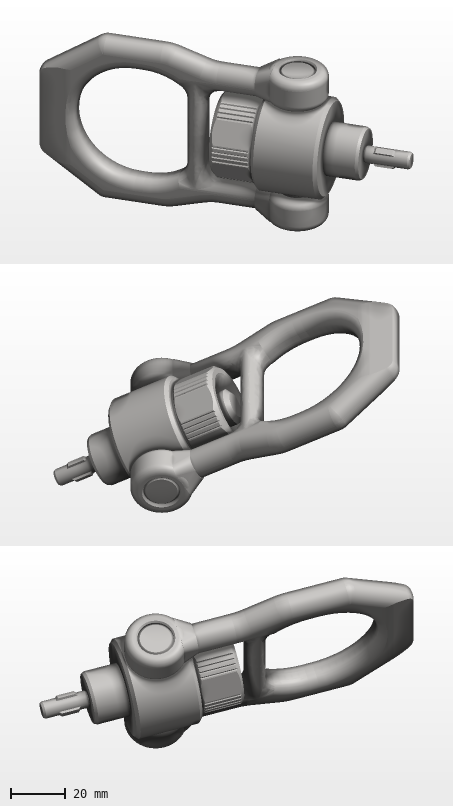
import cadquery as cq
import math


OVERALL_LENGTH = 141.6
TOLERANCE = 0.01

HANDLE_LEFT = -98.1
HANDLE_TOP = 34.0
HANDLE_HALF_THICKNESS = 5.5
END_FLAT_HALF_HEIGHT = 17.3
SHOULDER_X = -74.0
SHOULDER_END_X = -48.1
ARM_START_X = -31.9
END_CORNER_RADIUS = 5.4
ARM_BEND_RADIUS = 17.0
OPENING_RADIUS = 23.1
CLOSED_END_WIDTH = 14.3
OPENING_X = HANDLE_LEFT + CLOSED_END_WIDTH + OPENING_RADIUS
OPENING_STRAIGHT_LENGTH = 3.4
OPENING_RIGHT_X = OPENING_X + OPENING_STRAIGHT_LENGTH
BAR_LEFT = -41.6
BAR_RIGHT = -33.8
BAR_X = (BAR_LEFT + BAR_RIGHT) / 2
BAR_HALF_DEPTH = 5.4
BAR_BLEND_RADIUS = 7.1
ARM_INNER_Z = 19.1
ARM_OUTER_Z = 29.0
OUTER_ROUNDING = 5.2
OPENING_ROUNDING = 4.1
TIP_HALF_THICKNESS = 2.5
TAPER_START_X = -87.1
TAPER_BLEND_RADIUS = 17.0

LUG_RADIUS = 11.5
LUG_BOTTOM = 19.1
LUG_TOP = 31.7
LUG_ROUNDING = 3.0
NECK_START_X = -14.7
NECK_END_X = -8.6
LUG_HOLE_RADIUS = 6.7
LUG_HOLE_CHAMFER = 0.5

HOUSING_RADIUS = 19.0
HOUSING_HALF_LENGTH = 12.6
HOUSING_CHAMFER = 1.3
SLEEVE_RADIUS = 10.0
SLEEVE_END = 25.9
SLEEVE_CHAMFER_LENGTH = 1.1
SLEEVE_CHAMFER_DEPTH = SLEEVE_CHAMFER_LENGTH / 2
TRUNNION_RECESS = 0.5
TRUNNION_END = LUG_TOP - TRUNNION_RECESS
TRUNNION_CHAMFER = 0.8

KNOB_LEFT = -29.3
KNOB_RIGHT = -13.2
KNOB_RADIUS = 16.5
KNOB_FLAT_DISTANCE = 15.9
KNOB_FLATS = 6
KNOB_FACE_RADIUS = 15.2
KNOB_FRONT_CHAMFER = 1.7
KNOB_BACK_CHAMFER = 1.0
KNOB_NECK_RADIUS = 15.6
GRIP_GROOVES = 4
GRIP_PITCH = 2.0
GRIP_WIDTH = 0.7
GRIP_DEPTH = 0.4
DISH_RADIUS = 13.2
DISH_DEPTH = 3.1
BUTTON_RADIUS = 6.8
BUTTON_END = -30.7
BUTTON_END_RADIUS = 4.7
BUTTON_RIM_X = -29.2
PIN_RADIUS = 3.3
PIN_END = HANDLE_LEFT + OVERALL_LENGTH
PIN_CHAMFER_LENGTH = 0.8
PIN_CHAMFER_DEPTH = PIN_CHAMFER_LENGTH / 2
PIN_GROOVE_RADIUS = 3.0
PIN_GROOVE_LENGTH = 0.5
KEY_COUNT = 3
KEY_START = 29.6
KEY_END = 37.7
KEY_WIDTH = 2.3
KEY_TOP = 4.0
KEY_BEVEL = 0.8


def revolve_about_x(profile_points):
    """Solid turned about the X axis from (x, radius) points that start and end on the axis."""
    return cq.Workplane("XY").polyline(profile_points).close().revolve(360, (0, 0, 0), (1, 0, 0))



def corners_at(x):
    """Selector for the outline corners at one X position."""
    margin = 0.1
    return cq.selectors.BoxSelector(
        (x - margin, -2 * HANDLE_TOP, -2 * HANDLE_TOP),
        (x + margin, 2 * HANDLE_TOP, 2 * HANDLE_TOP),
    )


def handle_outline():
    """Outer outline of the handle as a plate, with its corners rounded."""
    upper = [
        (HANDLE_LEFT, END_FLAT_HALF_HEIGHT),
        (SHOULDER_X, HANDLE_TOP),
        (SHOULDER_END_X, HANDLE_TOP),
        (ARM_START_X, ARM_OUTER_Z),
        (0, ARM_OUTER_Z),
    ]
    lower = [(x, -z) for x, z in reversed(upper)]
    plate = cq.Workplane("XZ").polyline(upper + lower).close().extrude(HANDLE_HALF_THICKNESS, both=True)
    corner_radii = {
        HANDLE_LEFT: END_CORNER_RADIUS,
        SHOULDER_X: END_CORNER_RADIUS,
        SHOULDER_END_X: ARM_BEND_RADIUS,
        ARM_START_X: ARM_BEND_RADIUS,
    }
    for x, radius in corner_radii.items():
        plate = plate.edges("|Y").edges(corners_at(x)).fillet(radius)
    return plate


def opening_half_height(x):
    """Half height of the opening to the right of its straight stretch."""
    return math.sqrt(OPENING_RADIUS**2 - (x - OPENING_RIGHT_X) ** 2)


def handle_opening():
    """Round opening that runs on into the straight gap between the arms."""
    opening_at_bar = opening_half_height(BAR_LEFT)
    arc_middle_x = (OPENING_RIGHT_X + BAR_LEFT) / 2
    arc_middle = (arc_middle_x, opening_half_height(arc_middle_x))
    depth = 2 * HANDLE_HALF_THICKNESS
    hole = (
        cq.Workplane("XZ")
        .moveTo(OPENING_X, -OPENING_RADIUS)
        .threePointArc((OPENING_X - OPENING_RADIUS, 0), (OPENING_X, OPENING_RADIUS))
        .lineTo(OPENING_RIGHT_X, OPENING_RADIUS)
        .threePointArc(arc_middle, (BAR_LEFT, opening_at_bar))
        .lineTo(BAR_LEFT, -opening_at_bar)
        .threePointArc((arc_middle[0], -arc_middle[1]), (OPENING_RIGHT_X, -OPENING_RADIUS))
        .close()
        .extrude(depth, both=True)
    )
    gap_left = OPENING_RIGHT_X + math.sqrt(OPENING_RADIUS**2 - ARM_INNER_Z**2)
    gap = (
        cq.Workplane("XZ")
        .moveTo(gap_left, -ARM_INNER_Z)
        .lineTo(0, -ARM_INNER_Z)
        .lineTo(0, ARM_INNER_Z)
        .lineTo(gap_left, ARM_INNER_Z)
        .close()
        .extrude(depth, both=True)
    )
    return hole.union(gap)


def is_opening_edge(edge):
    """Whether an edge of a flat side runs along the opening and not along the outer rounding."""
    middle = edge.positionAt(0.5)
    nearest_x = min(max(middle.x, OPENING_X), OPENING_RIGHT_X)
    on_hole = abs(math.hypot(middle.x - nearest_x, middle.z) - OPENING_RADIUS) < TOLERANCE
    on_gap = abs(abs(middle.z) - ARM_INNER_Z) < TOLERANCE
    return on_hole or on_gap


def cross_bar():
    """Elliptical bar between the two arms."""
    return (
        cq.Workplane("XY", origin=(BAR_X, 0, 0))
        .ellipse((BAR_RIGHT - BAR_LEFT) / 2, BAR_HALF_DEPTH)
        .extrude((ARM_INNER_Z + ARM_OUTER_Z) / 2, both=True)
    )


def thickness_envelope():
    """Plan of the handle: flat along the arms, tapering smoothly to the closed end."""
    right_side = [(0, -HANDLE_HALF_THICKNESS), (0, HANDLE_HALF_THICKNESS)]
    taper = [(TAPER_START_X, HANDLE_HALF_THICKNESS), (HANDLE_LEFT, TIP_HALF_THICKNESS)]
    opposite_taper = [(x, -y) for x, y in reversed(taper)]
    return (
        cq.Workplane("XY")
        .polyline(right_side + taper + opposite_taper)
        .close()
        .extrude(2 * HANDLE_TOP, both=True)
        .edges("|Z")
        .edges(corners_at(TAPER_START_X))
        .fillet(TAPER_BLEND_RADIUS)
    )


def rounded_section(width, height, radius):
    """Rectangle with rounded corners."""
    return cq.Sketch().rect(width, height).vertices().fillet(radius)


def lug():
    """Upper lug with the neck that widens out of the arm into it."""
    head = (
        cq.Workplane("XY", origin=(0, 0, LUG_BOTTOM))
        .circle(LUG_RADIUS)
        .extrude(LUG_TOP - LUG_BOTTOM)
        .edges()
        .fillet(LUG_ROUNDING)
    )
    head_width = 2 * math.sqrt(LUG_RADIUS**2 - NECK_END_X**2)
    arm_middle_z = (ARM_INNER_Z + ARM_OUTER_Z) / 2
    head_middle_z = (LUG_BOTTOM + LUG_TOP) / 2
    arm_section = rounded_section(2 * HANDLE_HALF_THICKNESS, ARM_OUTER_Z - ARM_INNER_Z, OPENING_ROUNDING)
    head_section = rounded_section(head_width, LUG_TOP - LUG_BOTTOM, LUG_ROUNDING)
    arm_to_head = cq.Location(0, head_middle_z - arm_middle_z, NECK_END_X - NECK_START_X)
    neck = (
        cq.Workplane("YZ", origin=(NECK_START_X, 0, arm_middle_z))
        .placeSketch(arm_section, head_section.moved(arm_to_head))
        .loft()
    )
    return head.union(neck)


def rounded_ring():
    """Ring and arms with rounded edges along the outer outline and the opening."""
    plate = handle_outline().faces("<Y or >Y").edges("not >X").fillet(OUTER_ROUNDING)
    ring = plate.cut(handle_opening())
    opening_edges = [edge for edge in ring.faces("<Y or >Y").edges().vals() if is_opening_edge(edge)]
    return cq.Workplane(ring.val().fillet(OPENING_ROUNDING, opening_edges))


def is_bar_end(edge):
    """Whether an edge is part of the seam where the cross bar meets an arm."""
    middle = edge.Center()
    near_bar = abs(middle.x - BAR_X) < (BAR_RIGHT - BAR_LEFT) / 2
    off_centre = abs(middle.y) > BAR_HALF_DEPTH / 2
    return edge.geomType() == "BSPLINE" and near_bar and off_centre


def ring_with_bar():
    """Ring with its cross bar, blended into the arms at both ends."""
    ring = rounded_ring().union(cross_bar())
    bar_ends = [edge for edge in ring.edges().vals() if is_bar_end(edge)]
    return cq.Workplane(ring.val().fillet(BAR_BLEND_RADIUS, bar_ends))


def lug_hole():
    """Hole along Z through both lugs, with chamfered outer rims."""
    rim_radius = LUG_HOLE_RADIUS + LUG_HOLE_CHAMFER
    return (
        cq.Workplane("XZ")
        .moveTo(0, -LUG_TOP)
        .lineTo(rim_radius, -LUG_TOP)
        .lineTo(LUG_HOLE_RADIUS, LUG_HOLE_CHAMFER - LUG_TOP)
        .lineTo(LUG_HOLE_RADIUS, LUG_TOP - LUG_HOLE_CHAMFER)
        .lineTo(rim_radius, LUG_TOP)
        .lineTo(0, LUG_TOP)
        .close()
        .revolve(360, (0, 0, 0), (0, 1, 0))
    )


def build_handle():
    ring = ring_with_bar().intersect(thickness_envelope())
    upper_lug = lug()
    return ring.union(upper_lug).union(upper_lug.mirror("XY")).cut(lug_hole())



def build_housing():
    """Barrel with a sleeve, two trunnions and a through bore for the pin."""
    body_left = -HOUSING_HALF_LENGTH
    barrel = revolve_about_x([
        (body_left, 0),
        (body_left, HOUSING_RADIUS - HOUSING_CHAMFER),
        (body_left + HOUSING_CHAMFER, HOUSING_RADIUS),
        (HOUSING_HALF_LENGTH - HOUSING_CHAMFER, HOUSING_RADIUS),
        (HOUSING_HALF_LENGTH, HOUSING_RADIUS - HOUSING_CHAMFER),
        (HOUSING_HALF_LENGTH, SLEEVE_RADIUS),
        (SLEEVE_END - SLEEVE_CHAMFER_LENGTH, SLEEVE_RADIUS),
        (SLEEVE_END, SLEEVE_RADIUS - SLEEVE_CHAMFER_DEPTH),
        (SLEEVE_END, 0),
    ])
    trunnions = (
        cq.Workplane("XY", origin=(0, 0, -TRUNNION_END))
        .circle(LUG_HOLE_RADIUS)
        .extrude(2 * TRUNNION_END)
        .faces("<Z or >Z")
        .chamfer(TRUNNION_CHAMFER)
    )
    bore = revolve_about_x([
        (body_left, 0), (body_left, PIN_RADIUS), (SLEEVE_END, PIN_RADIUS), (SLEEVE_END, 0),
    ])
    return barrel.union(trunnions).cut(bore)



def knob():
    """Hexagon knob with rounded corners, bevelled ends, a dished face and a raised button."""
    length = KNOB_RIGHT - KNOB_LEFT
    prism = (
        cq.Workplane("YZ", origin=(KNOB_LEFT, 0, 0))
        .polygon(KNOB_FLATS, 2 * KNOB_FLAT_DISTANCE / math.cos(math.pi / KNOB_FLATS))
        .extrude(length)
    )
    envelope = revolve_about_x([
        (KNOB_LEFT, 0),
        (KNOB_LEFT, KNOB_FACE_RADIUS),
        (KNOB_LEFT + KNOB_FRONT_CHAMFER, KNOB_RADIUS),
        (KNOB_RIGHT - KNOB_BACK_CHAMFER, KNOB_RADIUS),
        (KNOB_RIGHT, KNOB_NECK_RADIUS),
        (KNOB_RIGHT, 0),
    ])
    dish = revolve_about_x([
        (KNOB_LEFT, 0),
        (KNOB_LEFT, DISH_RADIUS),
        (KNOB_LEFT + DISH_DEPTH, BUTTON_RADIUS),
        (KNOB_LEFT + DISH_DEPTH, 0),
    ])
    button = revolve_about_x([
        (BUTTON_END, 0),
        (BUTTON_END, BUTTON_END_RADIUS),
        (BUTTON_RIM_X, BUTTON_RADIUS),
        (KNOB_LEFT + DISH_DEPTH, BUTTON_RADIUS),
        (KNOB_LEFT + DISH_DEPTH, 0),
    ])
    return prism.intersect(envelope).cut(grip_grooves()).cut(dish).union(button)


def grip_grooves():
    """V-grooves along the rounded corners of the knob."""
    groove = (
        cq.Workplane("YZ", origin=(KNOB_LEFT, 0, 0))
        .polyline([
            (KNOB_RADIUS - GRIP_DEPTH, 0),
            (KNOB_RADIUS, GRIP_WIDTH / 2),
            (KNOB_RADIUS + GRIP_DEPTH, 0),
            (KNOB_RADIUS, -GRIP_WIDTH / 2),
        ])
        .close()
        .extrude(KNOB_RIGHT - KNOB_LEFT)
    )
    groove_step = math.degrees(GRIP_PITCH / KNOB_RADIUS)
    middle = (GRIP_GROOVES - 1) / 2
    solids = []
    for corner in range(KNOB_FLATS):
        for index in range(GRIP_GROOVES):
            angle = corner * 360 / KNOB_FLATS + (index - middle) * groove_step
            solids.append(groove.rotate((0, 0, 0), (1, 0, 0), angle).val())
    return cq.Workplane(cq.Compound.makeCompound(solids))


def pin():
    """Neck behind the knob and the pin that runs through the housing."""
    groove_end = SLEEVE_END + PIN_GROOVE_LENGTH
    return revolve_about_x([
        (KNOB_RIGHT, 0),
        (KNOB_RIGHT, KNOB_NECK_RADIUS),
        (-HOUSING_HALF_LENGTH, KNOB_NECK_RADIUS),
        (-HOUSING_HALF_LENGTH, PIN_RADIUS),
        (SLEEVE_END, PIN_RADIUS),
        (SLEEVE_END, PIN_GROOVE_RADIUS),
        (groove_end, PIN_GROOVE_RADIUS),
        (groove_end, PIN_RADIUS),
        (PIN_END - PIN_CHAMFER_LENGTH, PIN_RADIUS),
        (PIN_END, PIN_RADIUS - PIN_CHAMFER_DEPTH),
        (PIN_END, 0),
    ])


def key():
    """One key on the +Y side of the pin, with both ends bevelled."""
    return (
        cq.Workplane("XY")
        .polyline([
            (KEY_START, 0),
            (KEY_START, KEY_TOP - KEY_BEVEL),
            (KEY_START + KEY_BEVEL, KEY_TOP),
            (KEY_END - KEY_BEVEL, KEY_TOP),
            (KEY_END, KEY_TOP - KEY_BEVEL),
            (KEY_END, 0),
        ])
        .close()
        .extrude(KEY_WIDTH / 2, both=True)
    )


def build_spindle():
    """Knob and keyed pin in one piece."""
    spindle = knob().union(pin())
    for index in range(KEY_COUNT):
        spindle = spindle.union(key().rotate((0, 0, 0), (1, 0, 0), index * 360 / KEY_COUNT))
    return spindle


handle = build_handle().solids()
housing = build_housing().solids()
spindle = build_spindle().solids()
result = cq.Compound.makeCompound([handle.val(), housing.val(), spindle.val()])